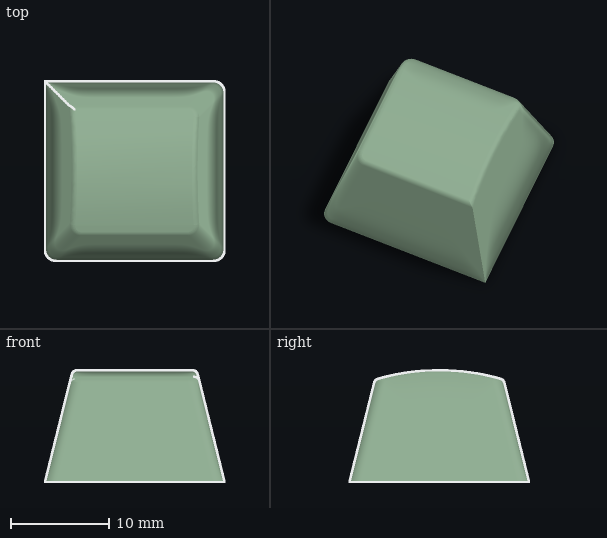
import cadquery as cq
import math

base_side = 18.3
height = 11.4
wall_draft = 14.0
crown_radius = 22.44
corner_radius = 1.2
rim_radius = 0.6

half_side = base_side / 2
crown_sag = crown_radius - math.sqrt(crown_radius**2 - half_side**2)
crown_edge_height = height - crown_sag


def tapered_block():
    """Square block with drafted walls, sharp along all edges."""
    return cq.Workplane("XY").rect(base_side, base_side).extrude(height, taper=wall_draft)


def crown_envelope():
    """Bar along X whose domed upper side sets the height of the top face."""
    return (
        cq.Workplane("YZ")
        .moveTo(-half_side, 0)
        .lineTo(half_side, 0)
        .lineTo(half_side, crown_edge_height)
        .threePointArc((0, height), (-half_side, crown_edge_height))
        .close()
        .extrude(half_side, both=True)
    )


def is_rounded_corner(edge):
    """True for a wall edge running up from the base, except at -X, +Y."""
    foot = min(edge.Vertices(), key=lambda vertex: vertex.Z)
    rise = edge.BoundingBox().zlen
    return rise > height / 2 and not (foot.X < 0 < foot.Y)


body = tapered_block().intersect(crown_envelope())

corner_edges = [edge for edge in body.edges().vals() if is_rounded_corner(edge)]
body = body.newObject(corner_edges).fillet(corner_radius)

result = body.faces(">Z").edges().fillet(rim_radius)